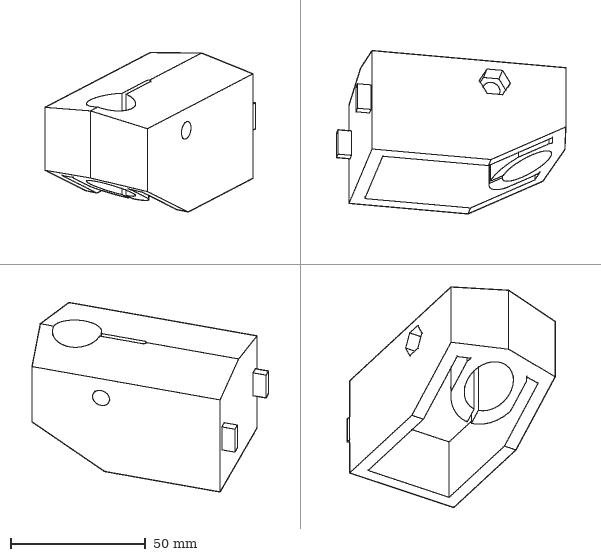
import cadquery as cq
import math

width = 45.0
height = 45.0
total_length = 82.3
tab_length = 5.1
body_length = total_length - tab_length
half_width = width / 2
ridge_angle = 10
ridge_slope = math.tan(math.radians(ridge_angle))
ridge_drop = half_width * ridge_slope

nose_bottom = 18.7
undercut_length = 32.3

bore_y = 14.3
bore_diameter = 18.2
boss_diameter = 28.15
boss_width = 25.7
slit_width = 1.8
slit_end = 41.15

side_wall = 5.0
front_wall = 4.9
back_wall = side_wall
cavity_height = 24.7

bolt_y = 30.9
bolt_z = 32.5
bolt_diameter = 6.6
nut_flats = 10.1
nut_depth = 7.0

tab_thickness = 3.0
tab_height = 10.2
tab_bottom = 17.5


def vee_prism(half, tip_y, back_y, tall):
    """Upright block with a V-shaped front whose tip is at tip_y."""
    shoulder_y = tip_y + half * ridge_slope
    return (
        cq.Workplane("XY")
        .moveTo(0, tip_y)
        .lineTo(half, shoulder_y)
        .lineTo(half, back_y)
        .lineTo(-half, back_y)
        .lineTo(-half, shoulder_y)
        .close()
        .extrude(tall)
    )


def make_body():
    """Outer block with a V nose, a ridged roof and an undercut nose."""
    eave = height - ridge_drop
    roof_section = (
        cq.Workplane("XZ")
        .polyline([(-half_width, 0), (half_width, 0), (half_width, eave), (0, height), (-half_width, eave)])
        .close()
        .extrude(-body_length)
    )
    undercut = (
        cq.Workplane("YZ")
        .polyline([(0, 0), (undercut_length, 0), (0, nose_bottom)])
        .close()
        .extrude(half_width, both=True)
    )
    return vee_prism(half_width, 0, body_length, height).intersect(roof_section).cut(undercut)


def make_cavity():
    """Hollow inside the walls, leaving the flat-sided boss around the bore."""
    hollow = vee_prism(half_width - side_wall, front_wall, body_length - back_wall, cavity_height)
    boss_flats = cq.Workplane("XY").center(0, bore_y).rect(boss_width, boss_diameter).extrude(cavity_height)
    boss = cq.Workplane("XY").center(0, bore_y).circle(boss_diameter / 2).extrude(cavity_height)
    return hollow.cut(boss.intersect(boss_flats))


def make_clamp_opening():
    """Vertical bore and the round-ended slit running back from it."""
    bore = cq.Workplane("XY").center(0, bore_y).circle(bore_diameter / 2).extrude(height)
    slit_length = slit_end - bore_y
    slit = (
        cq.Workplane("XY")
        .center(0, bore_y + slit_length / 2)
        .slot2D(slit_length, slit_width, 90)
        .extrude(height)
    )
    return bore.union(slit)


def make_bolt_opening():
    """Cross hole for the clamp bolt and its hexagonal nut pocket."""
    side_plane = cq.Workplane("YZ", origin=(-half_width, bolt_y, bolt_z))
    nut_corners = nut_flats / math.cos(math.radians(30))
    hole = side_plane.circle(bolt_diameter / 2).extrude(width)
    pocket = side_plane.polygon(6, nut_corners).extrude(nut_depth)
    return hole.union(pocket)


def make_tab(side):
    """Tab flush with the inner face of a side wall, rooted in the back wall."""
    tab_x = side * (half_width - side_wall + tab_thickness / 2)
    root = back_wall / 2
    tab = cq.Workplane("XY").box(tab_thickness, tab_length + root, tab_height, centered=(True, False, False))
    return tab.translate((tab_x, body_length - root, tab_bottom))


result = make_body().cut(make_cavity()).cut(make_clamp_opening()).cut(make_bolt_opening())
for side in (-1, 1):
    result = result.union(make_tab(side))